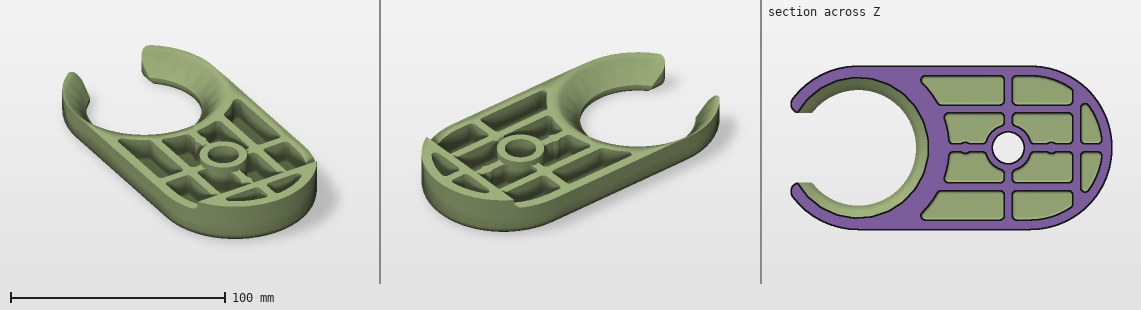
import cadquery as cq
import math

length = 150.1
width = 76.5
base_height = 15.2
raised_height = 20.0
end_radius = width / 2
bottom_round = 4.0

bore_radius = 27.0
bore_flare = 2.0
cone_start = 4.0
cone_top_radius = 37.7
rim_round = 5.0
mouth_half_width = 16.2
tip_round = 4.2

tip_center_y = mouth_half_width + tip_round
tip_reach = tip_round + math.sqrt((end_radius - tip_round) ** 2 - tip_center_y ** 2)
end_center = length - tip_reach - end_radius

boss_x = 70.1
boss_radius = 11.1
boss_wall_radius = 10.8
boss_height = 18.2
hole_radius = 7.4

step_x = 100.1
step_round = 3.0

floor_height = 3.9
outer_wall = 4.7
ring_wall_radius = 42.6
rib_width = 3.9
side_rib_y = 18.2
post_radius = 2.7
post_offset = 20.1
corner_round = 2.0
floor_round = 1.4


def cylinder(x, radius, bottom, top):
    return cq.Workplane("XY", origin=(x, 0, bottom)).circle(radius).extrude(top - bottom)


def block(x_range, y_range, z_range):
    """Box between two limits on each axis."""
    sizes = [limits[1] - limits[0] for limits in (x_range, y_range, z_range)]
    corner = (x_range[0], y_range[0], z_range[0])
    return cq.Workplane("XY").box(*sizes, centered=False).translate(corner)


def stadium(inset, bottom, top):
    """Round-ended plate, drawn in from the outer side by the inset."""
    radius = end_radius - inset
    return (
        cq.Workplane("XY", origin=(0, 0, bottom))
        .moveTo(0, -radius)
        .lineTo(end_center, -radius)
        .threePointArc((end_center + radius, 0), (end_center, radius))
        .lineTo(0, radius)
        .threePointArc((-radius, 0), (0, -radius))
        .close()
        .extrude(top - bottom)
    )


def plate():
    """Plate with the ring mouth, the raised end and a rounded underside."""
    body = stadium(0, 0, raised_height)
    mouth = block((-end_radius, 0), (-mouth_half_width, mouth_half_width), (0, raised_height))
    body = body.cut(mouth)
    body = body.edges("|Z").edges("<X").fillet(tip_round)
    body = body.faces("<Z").edges().fillet(bottom_round)
    return body.cut(above_base())


def above_base():
    """Space over the low part of the plate, with a hollow round at the foot of the step."""
    space = block((-end_radius, step_x), (-width, width), (base_height, raised_height))
    return space.edges("|Y and >X and <Z").fillet(step_round)


def ring_opening():
    """Flared bore that widens into a cone with a rounded rim."""
    slope = math.atan2(base_height - cone_start, cone_top_radius - bore_radius)
    half_turn = slope / 2
    rim_center = cone_top_radius + rim_round * math.tan(half_turn)
    rim_middle = (
        rim_center - rim_round * math.sin(half_turn),
        base_height - rim_round * (1 - math.cos(half_turn)),
    )
    rim_foot = (
        rim_center - rim_round * math.sin(slope),
        base_height - rim_round * (1 - math.cos(slope)),
    )
    flare_middle = bore_flare * (1 - math.sqrt(0.5))
    return (
        cq.Workplane("XZ")
        .moveTo(0, 0)
        .lineTo(bore_radius + bore_flare, 0)
        .threePointArc((bore_radius + flare_middle, flare_middle), (bore_radius, bore_flare))
        .lineTo(bore_radius, cone_start)
        .lineTo(*rim_foot)
        .threePointArc(rim_middle, (rim_center, base_height))
        .lineTo(0, base_height)
        .close()
        .revolve(360, (0, 0, 0), (0, 1, 0))
    )


def pockets():
    """Solids to cut away between the ribs, rounded at the corners and the floor."""
    z_range = (floor_height, raised_height)
    space = stadium(outer_wall, *z_range)
    space = space.cut(cylinder(0, ring_wall_radius, *z_range))
    space = space.cut(cylinder(boss_x, boss_wall_radius, *z_range))
    half_rib = rib_width / 2
    for y in (-side_rib_y, 0, side_rib_y):
        right_end = end_center + end_radius if y == 0 else step_x
        space = space.cut(block((0, right_end), (y - half_rib, y + half_rib), z_range))
    for x in (boss_x - half_rib, step_x):
        space = space.cut(block((x, x + rib_width), (-width, width), z_range))
    for x in (boss_x - post_offset, boss_x + post_offset):
        space = space.cut(cylinder(x, post_radius, *z_range))
    space = space.edges("|Z").fillet(corner_round)
    return space.faces("<Z").edges().fillet(floor_round)


result = plate().cut(ring_opening()).cut(pockets())
result = result.union(cylinder(boss_x, boss_radius, base_height, boss_height))
result = result.cut(cylinder(boss_x, hole_radius, 0, boss_height))